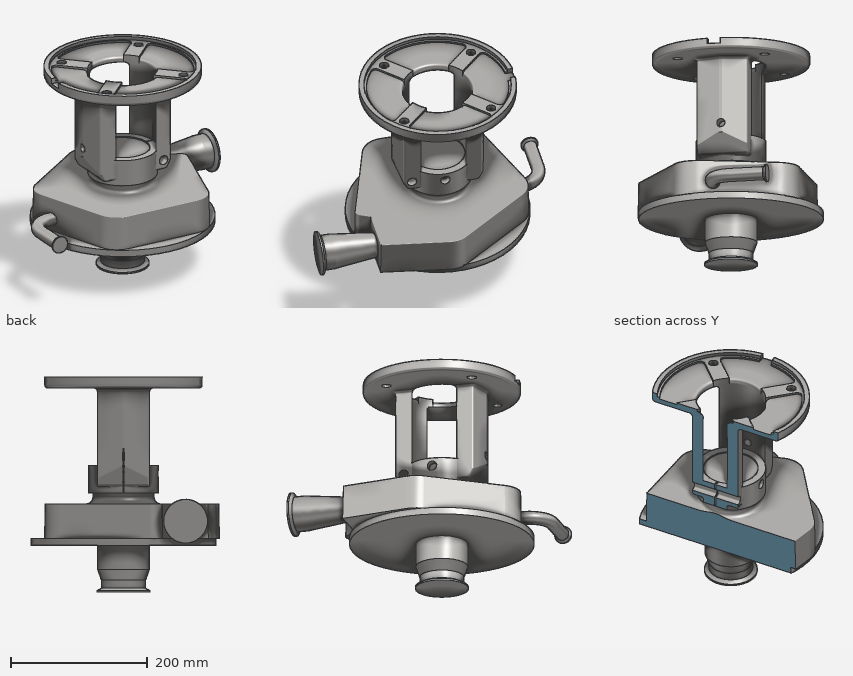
import cadquery as cq
import math


tolerance = 0.01

total_height = 314.5
back_disc_bottom = 68.5
back_disc_thickness = 10.0
casing_bottom = back_disc_bottom + back_disc_thickness
casing_height = 50.5
casing_top = casing_bottom + casing_height
clamp_bottom = 145.2
clamp_top = 185.0
arm_bottom = 154.0
flange_thickness = 16.4
flange_bottom = total_height - flange_thickness

inlet_radius = 38.0
inlet_neck_radius = 32.2
inlet_cone_top = 33.5
inlet_cone_bottom = 17.5
inlet_ferrule_radius = 38.75
inlet_rim = 2.4
inlet_ferrule_taper = 3.4

back_disc_radius = 135.0
outlet_face_corners = [(-57.0, 114.2), (-123.8, 114.2)]
wide_casing_corners = [(-141.93, -1.2), (-43.7, -134.9), (115.3, -82.0), (115.3, 85.2)]
shoulder_corner = (-46.5, 136.0)
casing_corner_radius = 35.0
shoulder_radius = 10.0
casing_draft = 1.0
casing_edge_radius = 0.8

hub_radius = 44.8
hub_flare = 10.0
clamp_radius = 51.0
clamp_bore_radius = 39.8
clamp_recess = 2.0
slit_width = 2.0
slit_top = 210.0
clamp_hole_diameter = 14.0
clamp_hole_height = 173.0

arm_half_width = 38.2
arm_ridge_half_width = 2.2
arm_ridge_reach = 68.3
arm_flank_angle = 14.2
arm_edge_radius = 3.3
arm_flank_reach = arm_ridge_reach - (arm_half_width - arm_ridge_half_width) * math.tan(
    math.radians(arm_flank_angle)
)
arm_slope_start = 184.0
arm_slope_angle = 27.0
arm_bottom_radius = 3.0
arm_heel_radius = 7.0
ring_blend_radius = 2.5
arm_root_fillet = 5.5
arm_hole_diameter = 12.0
arm_hole_height = 198.0
cross_bolt_diameter = 14.0
cross_bolt_reach = 47.0
cross_bolt_height = 168.2

flange_radius = 115.0
flange_edge_radius = 4.5
spigot_radius = 107.5
spigot_depth = 5.0
pocket_radius = 104.0
pocket_depth = 3.0
pocket_corner_radius = 7.0
pocket_lip_radius = 7.0
pad_width = 24.0
bolt_count = 4
bolt_start_angle = 45.0
bolt_circle_radius = 92.0
bolt_hole_diameter = 13.5
notch_width = 19.5
notch_overlap = 3.0

outlet_x = -90.7
outlet_z = casing_bottom + casing_height / 2
outlet_face = 113.6
outlet_embed = 5.0
outlet_end = 199.7
outlet_root_radius = 18.5
outlet_root_round = 4.5
outlet_radius = 25.8
outlet_cone_end = 179.3
outlet_ferrule_radius = 32.0
outlet_rim = 2.5
outlet_ferrule_taper = 3.5

drain_radius = 9.6
drain_bend_radius = 35.0
drain_y = -158.3
drain_z = 96.6
drain_end = 90.0
drain_ferrule_radius = 12.7
drain_rim = 2.2
drain_ferrule_taper = 3.0


def cylinder(radius, bottom, top):
    return cq.Workplane("XY").workplane(offset=bottom).circle(radius).extrude(top - bottom)


def box(x_range, y_range, z_range):
    size = [r[1] - r[0] for r in (x_range, y_range, z_range)]
    return cq.Workplane("XY").box(*size, centered=False).translate((x_range[0], y_range[0], z_range[0]))


def inlet():
    ferrule_top = inlet_rim + inlet_ferrule_taper
    profile = [
        (0, 0),
        (inlet_ferrule_radius, 0),
        (inlet_ferrule_radius, inlet_rim),
        (inlet_neck_radius, ferrule_top),
        (inlet_neck_radius, inlet_cone_bottom),
        (inlet_radius, inlet_cone_top),
        (inlet_radius, back_disc_bottom),
        (0, back_disc_bottom),
    ]
    return cq.Workplane("XZ").polyline(profile).close().revolve(360, (0, 0), (0, 1))


def casing():
    """Drafted casing on its round back disc; the corners of the outlet face stay sharp."""
    corners = outlet_face_corners + wide_casing_corners + [shoulder_corner]
    body = (
        cq.Workplane("XY")
        .workplane(offset=casing_bottom)
        .polyline(corners)
        .close()
        .extrude(casing_height, taper=casing_draft)
    )
    for corner in wide_casing_corners:
        body = body.edges(corner_edge(*corner)).fillet(casing_corner_radius)
    body = body.edges(corner_edge(*shoulder_corner)).fillet(shoulder_radius)
    body = body.faces(">Z").edges().fillet(casing_edge_radius)
    return body.union(cylinder(back_disc_radius, back_disc_bottom, casing_bottom))


def corner_edge(x, y):
    """Selector for the casing corner edge that starts near (x, y); the margin covers the draft."""
    margin = 2.0
    return cq.selectors.BoxSelector(
        (x - margin, y - margin, casing_bottom),
        (x + margin, y + margin, casing_top),
    )


def hub():
    flare_top = casing_top + hub_flare
    return (
        cq.Workplane("XZ")
        .moveTo(0, casing_top)
        .lineTo(hub_radius + hub_flare, casing_top)
        .radiusArc((hub_radius, flare_top), hub_flare)
        .lineTo(hub_radius, clamp_bottom)
        .lineTo(0, clamp_bottom)
        .close()
        .revolve(360, (0, 0), (0, 1))
    )


def clamp_ring():
    ring = cylinder(clamp_radius, clamp_bottom, clamp_top)
    return ring.cut(cylinder(clamp_bore_radius, clamp_top - clamp_recess, clamp_top))


def arm():
    """Lantern arm on the -Y side: ridged outer face, foot cut back by a slope."""
    outline = [
        (-arm_half_width, 0),
        (-arm_half_width, -arm_flank_reach),
        (-arm_ridge_half_width, -arm_ridge_reach),
        (arm_ridge_half_width, -arm_ridge_reach),
        (arm_half_width, -arm_flank_reach),
        (arm_half_width, 0),
    ]
    body = (
        cq.Workplane("XY")
        .workplane(offset=arm_bottom)
        .polyline(outline)
        .close()
        .extrude(flange_bottom - arm_bottom)
    )
    flank_edges = [(-arm_half_width, -arm_flank_reach), (arm_half_width, -arm_flank_reach)]
    for x, y in flank_edges:
        middle = (x, y, (arm_bottom + flange_bottom) / 2)
        body = body.edges(cq.selectors.NearestToPointSelector(middle)).fillet(arm_edge_radius)
    slope_run = (arm_slope_start - arm_bottom) * math.tan(math.radians(arm_slope_angle))
    foot_wedge = (
        cq.Workplane("YZ")
        .polyline(
            [
                (-arm_ridge_reach, arm_slope_start),
                (-arm_ridge_reach + slope_run, arm_bottom),
                (-arm_ridge_reach, arm_bottom),
            ]
        )
        .close()
        .extrude(arm_half_width, both=True)
    )
    body = body.cut(foot_wedge)
    body = body.faces("<Z").edges("<Y").fillet(arm_heel_radius)
    body = body.faces("<Z").edges("|Y").fillet(arm_bottom_radius)
    return body.cut(cylinder(clamp_radius, arm_bottom, flange_bottom))


def is_ring_joint(edge):
    """True where an arm meets the outside of the clamp ring."""
    extent = edge.BoundingBox()
    below_ring_top = extent.zmin < clamp_top - tolerance and extent.zmax < clamp_top + tolerance
    on_arm = extent.zmin > arm_bottom - tolerance
    on_ring = all(abs(math.hypot(v.X, v.Y) - clamp_radius) < tolerance for v in edge.Vertices())
    return below_ring_top and on_arm and on_ring


def clamped_lantern():
    body = clamp_ring().union(lantern())
    return body.edges().filter(is_ring_joint).fillet(ring_blend_radius)


def pocket_cutter():
    """Four sector pockets between the bolt pads, rounding over into the centre bore."""
    floor = total_height - spigot_depth - pocket_depth
    ring = (
        cq.Workplane("XZ")
        .moveTo(0, floor + pocket_depth)
        .lineTo(pocket_radius, floor + pocket_depth)
        .lineTo(pocket_radius, floor)
        .lineTo(clamp_radius + pocket_lip_radius, floor)
        .radiusArc((clamp_radius, floor - pocket_lip_radius), -pocket_lip_radius)
        .lineTo(0, floor - pocket_lip_radius)
        .close()
        .revolve(360, (0, 0), (0, 1))
    )
    for angle in (bolt_start_angle, bolt_start_angle + 90):
        pad = cq.Workplane("XY").box(4 * pocket_radius, pad_width, 2 * total_height)
        ring = ring.cut(pad.rotate((0, 0, 0), (0, 0, 1), angle))
    rim_only = ring.edges("|Z").filter(
        lambda edge: math.hypot(edge.Center().x, edge.Center().y) > pocket_radius - tolerance
    )
    return rim_only.fillet(pocket_corner_radius)


def flange():
    plate = cylinder(flange_radius, flange_bottom, total_height)
    return plate.faces("<Z").edges().fillet(flange_edge_radius)


def flange_cuts():
    """Spigot recess, centre bore, sector pockets, rim notch and bolt holes."""
    spigot_floor = total_height - spigot_depth
    notch_floor = spigot_floor - pocket_depth
    cuts = cylinder(spigot_radius, spigot_floor, total_height)
    cuts = cuts.union(cylinder(clamp_radius, flange_bottom, total_height))
    cuts = cuts.union(pocket_cutter())
    cuts = cuts.union(
        box(
            (-notch_width / 2, notch_width / 2),
            (-flange_radius, -pocket_radius + notch_overlap),
            (notch_floor, total_height),
        )
    )
    holes = (
        cq.Workplane("XY")
        .workplane(offset=flange_bottom)
        .polarArray(bolt_circle_radius, bolt_start_angle, 360, bolt_count)
        .circle(bolt_hole_diameter / 2)
        .extrude(flange_thickness)
    )
    return cuts.union(holes)


def lantern():
    """Motor flange carried by two opposite arms, with rounded roots under the flange."""
    front_arm = arm()
    body = flange().union(front_arm).union(front_arm.mirror("XZ"))
    body = body.cut(cylinder(clamp_radius, flange_bottom, total_height))
    roots = body.edges(
        cq.selectors.BoxSelector(
            (-flange_radius, -arm_ridge_reach - tolerance, flange_bottom - tolerance),
            (flange_radius, arm_ridge_reach + tolerance, flange_bottom + tolerance),
        )
    ).filter(lambda edge: edge.geomType() == "LINE")
    body = roots.fillet(arm_root_fillet)
    return body.cut(flange_cuts())


def clamp_cuts():
    """Clamping slit with its cross bolt on +Y, the hole in the -Y arm and the radial ring hole on -X."""
    slit = box(
        (-slit_width / 2, slit_width / 2),
        (clamp_bore_radius, arm_ridge_reach),
        (clamp_bottom, slit_top),
    )
    cross_bolt = (
        cq.Workplane("YZ")
        .center(cross_bolt_reach, cross_bolt_height)
        .circle(cross_bolt_diameter / 2)
        .extrude(clamp_radius, both=True)
    )
    arm_hole = (
        cq.Workplane("XZ").center(0, arm_hole_height).circle(arm_hole_diameter / 2).extrude(arm_ridge_reach)
    )
    ring_hole = (
        cq.Workplane("YZ")
        .workplane(offset=-clamp_radius)
        .center(0, clamp_hole_height)
        .circle(clamp_hole_diameter / 2)
        .extrude(clamp_radius - clamp_bore_radius)
    )
    return slit.union(cross_bolt).union(arm_hole).union(ring_hole)


def outlet():
    ferrule_start = outlet_end - outlet_rim - outlet_ferrule_taper
    nozzle = (
        cq.Workplane("XY")
        .moveTo(0, outlet_face - outlet_embed)
        .lineTo(outlet_root_radius - outlet_root_round, outlet_face - outlet_embed)
        .lineTo(outlet_root_radius - outlet_root_round, outlet_face)
        .radiusArc((outlet_root_radius, outlet_face + outlet_root_round), -outlet_root_round)
        .lineTo(outlet_radius, outlet_cone_end)
        .lineTo(outlet_radius, ferrule_start)
        .lineTo(outlet_ferrule_radius, outlet_end - outlet_rim)
        .lineTo(outlet_ferrule_radius, outlet_end)
        .lineTo(0, outlet_end)
        .close()
        .revolve(360, (0, 0), (0, 1))
    )
    return nozzle.translate((outlet_x, 0, outlet_z))


def drain():
    """Drain pipe starting inside the solid casing, with a clamp ferrule on its end."""
    bend_start = drain_y + drain_bend_radius
    path = (
        cq.Workplane("XY")
        .moveTo(0, -hub_radius)
        .lineTo(0, bend_start)
        .radiusArc((drain_bend_radius, drain_y), -drain_bend_radius)
        .lineTo(drain_end, drain_y)
    )
    pipe = cq.Workplane("XZ", origin=(0, -hub_radius, 0)).circle(drain_radius).sweep(path)
    rim_start = drain_end - drain_rim
    ferrule = (
        cq.Workplane("XY")
        .polyline(
            [
                (rim_start - drain_ferrule_taper, 0),
                (rim_start - drain_ferrule_taper, drain_radius),
                (rim_start, drain_ferrule_radius),
                (drain_end, drain_ferrule_radius),
                (drain_end, 0),
            ]
        )
        .close()
        .revolve(360, (0, 0), (1, 0))
        .translate((0, drain_y, 0))
    )
    return pipe.union(ferrule).translate((0, 0, drain_z))


result = (
    inlet()
    .union(casing())
    .union(hub())
    .union(clamped_lantern())
    .cut(clamp_cuts())
    .union(outlet())
    .union(drain())
)